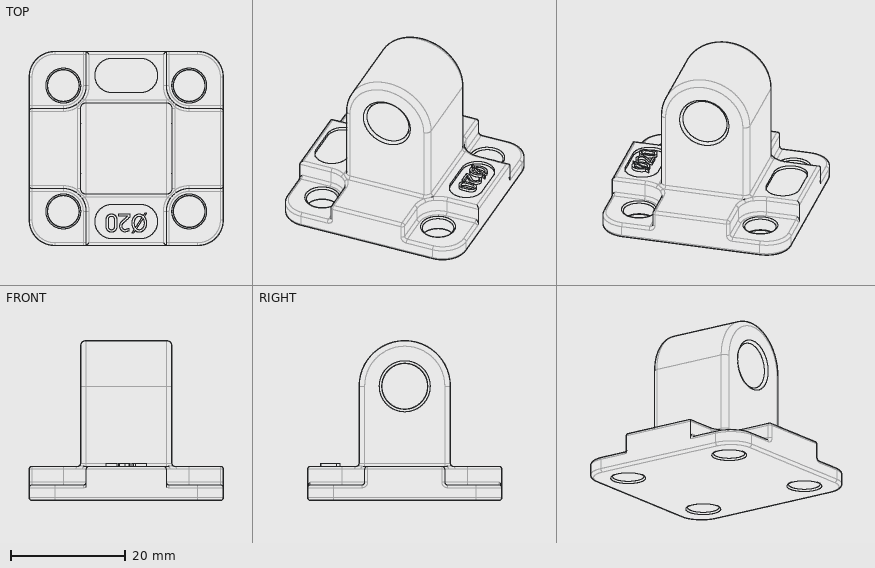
import cadquery as cq

base_side = 34.0
base_corner_radius = 4.5
corner_height = 2.72
pad_height = 6.0
edge_fillet = 0.5

hole_offset = 11.0
hole_diameter = 5.5
hole_chamfer = 0.3
cutout_radius = 4.0
pad_half_width = hole_offset - cutout_radius

lug_width = 16.0
lug_radius = lug_width / 2
bore_height = 20.0
bore_diameter = 8.0
bore_chamfer = 0.48
lug_fillet = 1.0

recess_length = 11.0
recess_width = 6.0
recess_offset = 12.8
recess_depth = 0.5

character_height = 3.15
character_thickness = 0.5
character_bottom = pad_height
character_y = -13.05
stroke = 0.4
oval_width = 2.6
oval_x = 2.28
zero_width = 1.9
zero_x = -2.6
two_x = -0.35
slash_run = 2.28
slash_rise = 3.47
slash_width = 0.35
two_width = 1.97
two_foot = 0.37

selection_margin = 0.017

CORNERS = [(sx, sy) for sx in (-1, 1) for sy in (-1, 1)]
HOLE_CENTRES = [(sx * hole_offset, sy * hole_offset) for sx, sy in CORNERS]


def edges_at(height, span):
    """Selector for edges centred at one height, inside a centred square of the given span."""
    half = span / 2 + selection_margin
    return cq.selectors.BoxSelector(
        (-half, -half, height - selection_margin),
        (half, half, height + selection_margin),
    )


def make_corner_cutout(sx, sy):
    """Block that lowers one corner of the base; its rounded edges leave blends along the pad wall."""
    size = base_side
    centre = pad_half_width + size / 2
    return (
        cq.Workplane("XY")
        .box(size, size, pad_height, centered=(True, True, False))
        .edges("|Z")
        .fillet(cutout_radius)
        .faces("<Z")
        .edges()
        .fillet(edge_fillet)
        .translate((sx * centre, sy * centre, corner_height))
    )


def make_base():
    """Base plate with lowered corners, rounded ledges and a rounded bottom edge."""
    base = (
        cq.Workplane("XY")
        .box(base_side, base_side, pad_height, centered=(True, True, False))
        .edges("|Z")
        .fillet(base_corner_radius)
    )
    for sx, sy in CORNERS:
        base = base.cut(make_corner_cutout(sx, sy))

    wall_middle = (corner_height + edge_fillet + pad_height) / 2
    upright_edges = base.faces("<X or >X").edges("|Z").edges(edges_at(wall_middle, base_side))
    base = upright_edges.fillet(edge_fillet)

    end_strip = cq.Workplane("XY").box(
        2 * pad_half_width, edge_fillet, pad_height, centered=(True, True, False)
    )
    strip_offset = (base_side - edge_fillet) / 2
    for side in (-1, 1):
        base = base.union(end_strip.translate((0, side * strip_offset, 0)))
    return base.faces("<Z").edges().fillet(edge_fillet)


def make_lug():
    """Lug with a round top, its end face edges rounded."""
    lug = (
        cq.Workplane("YZ")
        .moveTo(-lug_radius, 0)
        .lineTo(-lug_radius, bore_height)
        .threePointArc((0, bore_height + lug_radius), (lug_radius, bore_height))
        .lineTo(lug_radius, 0)
        .close()
        .extrude(lug_width / 2, both=True)
    )
    return lug.faces("<X or >X").edges("not <Z").fillet(lug_fillet)


def cut_bore(body):
    """Cross bore through the lug, chamfered at both ends."""
    bore_radius = bore_diameter / 2
    bore = cq.Workplane("YZ").center(0, bore_height).circle(bore_radius).extrude(lug_width, both=True)
    body = body.cut(bore)
    for side in (-1, 1):
        countersink = cq.Solid.makeCone(
            bore_radius + bore_chamfer,
            bore_radius,
            bore_chamfer,
            cq.Vector(side * lug_width / 2, 0, bore_height),
            cq.Vector(-side, 0, 0),
        )
        body = body.cut(cq.Workplane(countersink))
    return body


def cut_mounting_holes(body):
    """Four through holes, chamfered on the corner ledges and on the bottom face."""
    holes = (
        cq.Workplane("XY")
        .pushPoints(HOLE_CENTRES)
        .circle(hole_diameter / 2)
        .extrude(corner_height)
    )
    body = body.cut(holes)
    for height, direction in ((0, 1), (corner_height, -1)):
        countersinks = (
            cq.Workplane("XY", origin=(0, 0, height))
            .pushPoints(HOLE_CENTRES)
            .circle(hole_diameter / 2 + hole_chamfer)
            .extrude(direction * hole_chamfer, taper=45)
        )
        body = body.cut(countersinks)
    return body


def cut_recesses(body):
    """Shallow obround recesses in the pad on both sides of the lug."""
    recesses = (
        cq.Workplane("XY", origin=(0, 0, pad_height))
        .pushPoints([(0, -recess_offset), (0, recess_offset)])
        .slot2D(recess_length, recess_width)
        .extrude(-recess_depth)
    )
    return body.cut(recesses)


def make_housing():
    """Base and lug as one body, blended where the lug meets the pad."""
    body = make_base().union(make_lug())
    body = body.edges(edges_at(pad_height, lug_width)).fillet(edge_fillet)
    body = body.edges(edges_at(pad_height, base_side)).fillet(edge_fillet)
    body = cut_bore(body)
    body = cut_mounting_holes(body)
    return cut_recesses(body)


def place_character(character, x):
    """Turn an upright character by half a turn and move it to its place."""
    return character.rotate((0, 0, 0), (0, 0, 1), 180).translate((x, character_y, character_bottom))


def make_slashed_oval():
    """Diameter sign: oval ring crossed by a diagonal bar."""
    ring = (
        cq.Workplane("XY")
        .ellipse(character_height / 2, oval_width / 2, rotation_angle=90)
        .ellipse(character_height / 2 - stroke, oval_width / 2 - stroke, rotation_angle=90)
        .extrude(character_thickness)
    )
    right = (slash_run + slash_width) / 2
    top = slash_rise / 2
    slash = (
        cq.Workplane("XY")
        .polyline([(-right, -top), (slash_width - right, -top), (right, top), (right - slash_width, top)])
        .close()
        .extrude(character_thickness)
    )
    return place_character(ring.union(slash), oval_x)


def make_two():
    """Figure two: foot bar, slanted neck and open round hook."""
    right = two_width / 2
    bottom = -character_height / 2
    top = character_height / 2
    foot_top = bottom + two_foot
    neck_start_outer = (-right, foot_top + 0.15)
    neck_start_inner = (-0.55, foot_top)
    neck_end_outer = (0.45, -0.3)
    neck_end_inner = (0.1, -0.07)
    hook_side_outer = (0.8, 0.6)
    hook_side_inner = (0.8 - stroke, 0.65)
    hook_crown_outer = (-0.1, top)
    hook_crown_inner = (-0.1, top - stroke)
    hook_tip_outer = (-0.8, 1.35)
    hook_tip_inner = (-0.8, 0.92)
    two = (
        cq.Workplane("XY")
        .moveTo(-right, bottom)
        .lineTo(right, bottom)
        .lineTo(right, foot_top)
        .lineTo(*neck_start_inner)
        .lineTo(*neck_end_outer)
        .threePointArc(hook_side_outer, hook_crown_outer)
        .lineTo(*hook_tip_outer)
        .lineTo(*hook_tip_inner)
        .lineTo(*hook_crown_inner)
        .threePointArc(hook_side_inner, neck_end_inner)
        .lineTo(*neck_start_outer)
        .close()
        .extrude(character_thickness)
    )
    return place_character(two, two_x)


def make_zero():
    """Figure zero: obround ring."""
    zero = (
        cq.Workplane("XY")
        .slot2D(character_height, zero_width, 90)
        .slot2D(character_height - 2 * stroke, zero_width - 2 * stroke, 90)
        .extrude(character_thickness)
    )
    return place_character(zero, zero_x)


housing = make_housing()
slashed_oval = make_slashed_oval()
two = make_two()
zero = make_zero()

result = cq.Compound.makeCompound([housing.val(), slashed_oval.val(), two.val(), zero.val()])